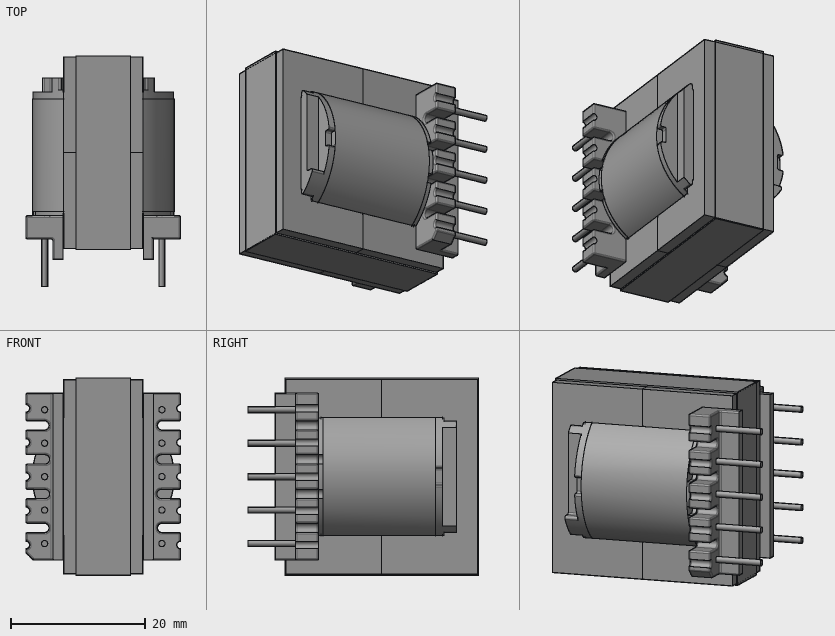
import cadquery as cq
import math


CORE_X = 11.83
CORE_Y = 28.57
CORE_Z = 28.95
CENTRE_LEG_RADIUS = 5.0
WINDOW_Y = 9.08

TAPE_X = 8.18
TAPE_Y = 28.88
TAPE_Z = 29.43

COIL_RADIUS = 10.6
WINDING_TOP_Y = 8.0
WINDING_BOTTOM_Y = -8.73

TUBE_RADIUS = 5.85
INNER_X = 5.98
FLANGE_NOTCH_FLOOR_X = 9.52
FLANGE_NOTCH_WIDTH = 2.5

PLATE_STEP_Y = 9.3
PLATE_TOP_Y = 11.15
PLATE_X = 7.63
PLATE_RABBET_X = 6.2
PLATE_RABBET_Z = 7.35
COIL_FORMER_ROUND = 0.28
LIP_TOP_Z = -5.02
LIP_EDGE_ROUND = 0.35

RAIL_X = 11.52
RAIL_Z = 12.45
RAIL_TOP_Y = -9.4
RAIL_BOTTOM_Y = -12.85
FOOT_X = 7.5
FOOT_BOTTOM_Y = -15.9
FOOT_ROOT_ROUND = 0.28
SELECT_MARGIN = 0.05
RAIL_EDGE_ROUND = 0.25
RAIL_CORNER_CUT = 1.1

SLOT_RADIUS = 0.7
OUTER_SLOT_Z = 7.63
INNER_SLOT_Z = 2.58
OUTER_SLOT_CENTRE_X = 8.75
INNER_SLOT_CENTRE_X = 8.65
NOTCH_RADIUS = 0.55
NOTCH_PITCH = 5.1

PIN_COUNT = 5
PIN_PITCH = 5.0
PIN_DIAMETER = 0.93
PIN_X = 8.73
PIN_TIP_Y = -19.95


def cylinder_y(radius, y_low, y_high, x=0, z=0):
    """Cylinder along Y between two heights."""
    plane = cq.Workplane("XZ", origin=(0, y_high, 0))
    return plane.center(x, z).circle(radius).extrude(y_high - y_low)


def block(x_range, y_range, z_range):
    """Box given by its limits along each axis."""
    size = [high - low for low, high in (x_range, y_range, z_range)]
    corner = (x_range[0], y_range[0], z_range[0])
    return cq.Workplane("XY").box(*size, centered=False).translate(corner)


def side_block(side, x_low, x_high, y_range, z_range):
    """Box on one side of the core; side is -1 or +1 along X."""
    x_range = sorted((side * x_low, side * x_high))
    return block(x_range, y_range, z_range)


def round_y_edge(body, point, radius):
    """Fillet the edge along Y whose middle is nearest to the point."""
    return body.edges("|Y").edges(cq.selectors.NearestToPointSelector(point)).fillet(radius)


def row(count, pitch):
    """Evenly spaced places centred on zero."""
    return [(i - (count - 1) / 2) * pitch for i in range(count)]


def core_half(side):
    """E core half with a round centre leg; side is the direction along Y."""
    y_range = sorted((0, side * CORE_Y / 2))
    half = block((-CORE_X / 2, CORE_X / 2), y_range, (-CORE_Z / 2, CORE_Z / 2))
    window = cylinder_y(COIL_RADIUS, -WINDOW_Y, WINDOW_Y)
    leg = cylinder_y(CENTRE_LEG_RADIUS, -WINDOW_Y, WINDOW_Y)
    return half.cut(window.cut(leg))


def tape_loop():
    loop = cq.Workplane("XY").box(TAPE_X, TAPE_Y, TAPE_Z)
    return loop.cut(cq.Workplane("XY").box(TAPE_X, CORE_Y, CORE_Z))


def coil():
    winding = cylinder_y(COIL_RADIUS, WINDING_BOTTOM_Y, WINDING_TOP_Y)
    return winding.cut(cylinder_y(TUBE_RADIUS, WINDING_BOTTOM_Y, WINDING_TOP_Y))


def tube_and_flanges():
    spool = cylinder_y(TUBE_RADIUS, -WINDOW_Y, WINDOW_Y)
    spool = spool.union(cylinder_y(COIL_RADIUS, WINDING_TOP_Y, WINDOW_Y))
    spool = spool.union(cylinder_y(COIL_RADIUS, -WINDOW_Y, WINDING_BOTTOM_Y))
    spool = spool.cut(cylinder_y(CENTRE_LEG_RADIUS, -WINDOW_Y, WINDOW_Y))
    notch_z = FLANGE_NOTCH_WIDTH / 2
    notch_y = (WINDING_TOP_Y, WINDOW_Y)
    rim_x = math.sqrt(COIL_RADIUS**2 - notch_z**2)
    for side in (-1, 1):
        notch = side_block(side, FLANGE_NOTCH_FLOOR_X, RAIL_X, notch_y, (-notch_z, notch_z))
        floor_face = "<X" if side > 0 else ">X"
        notch = notch.faces(floor_face).edges("|Y").fillet(COIL_FORMER_ROUND)
        spool = spool.cut(notch)
        for z in (-notch_z, notch_z):
            spool = round_y_edge(spool, (side * rim_x, sum(notch_y) / 2, z), COIL_FORMER_ROUND)
    return spool


def flange_segment(side):
    """Part of the lower flange beside the core, joining the flange to a rail."""
    y_range = (RAIL_TOP_Y, WINDING_BOTTOM_Y)
    disc = cylinder_y(COIL_RADIUS, *y_range)
    return disc.intersect(side_block(side, INNER_X, RAIL_X, y_range, (-RAIL_Z, RAIL_Z)))


def end_plate(side):
    """Plate standing on the upper flange beside the core; the -X one has a lip."""
    y_range = (WINDOW_Y, PLATE_TOP_Y)
    middle_y = sum(y_range) / 2
    plate = side_block(side, INNER_X, PLATE_X, y_range, (-RAIL_Z, RAIL_Z))
    if side < 0:
        plate = plate.union(side_block(side, INNER_X, RAIL_X, y_range, (-RAIL_Z, LIP_TOP_Z)))
        plate = round_y_edge(plate, (-PLATE_X, middle_y, LIP_TOP_Z), COIL_FORMER_ROUND)
    plate = plate.intersect(cylinder_y(COIL_RADIUS, *y_range))
    if side < 0:
        lip_x = math.sqrt(COIL_RADIUS**2 - LIP_TOP_Z**2)
        plate = round_y_edge(plate, (-lip_x, middle_y, LIP_TOP_Z), LIP_EDGE_ROUND)

    step_y = (PLATE_STEP_Y, PLATE_TOP_Y)
    corner_z = math.sqrt(COIL_RADIUS**2 - PLATE_RABBET_X**2)
    for end in (-1, 1):
        z_range = sorted((end * PLATE_RABBET_Z, end * RAIL_Z))
        rabbet = side_block(side, 0, PLATE_RABBET_X, step_y, z_range)
        root = (side * PLATE_RABBET_X, sum(step_y) / 2, end * PLATE_RABBET_Z)
        plate = plate.cut(round_y_edge(rabbet, root, COIL_FORMER_ROUND))
        corner = (side * PLATE_RABBET_X, sum(step_y) / 2, end * corner_z)
        plate = round_y_edge(plate, corner, COIL_FORMER_ROUND)
    return plate


def slot_cutter(side, centre_x, z):
    """Round ended wire slot through a rail and up to the winding."""
    y_range = (RAIL_BOTTOM_Y, WINDING_BOTTOM_Y)
    straight = side_block(side, centre_x, RAIL_X, y_range, (z - SLOT_RADIUS, z + SLOT_RADIUS))
    return straight.union(cylinder_y(SLOT_RADIUS, *y_range, x=side * centre_x, z=z))


def cut_wire_notches(rail, side):
    for z in row(PIN_COUNT, NOTCH_PITCH):
        rail = rail.cut(cylinder_y(NOTCH_RADIUS, RAIL_BOTTOM_Y, RAIL_TOP_Y, x=side * RAIL_X, z=z))
    return rail


def pin_rail(side):
    """Rail with a foot, wire slots and wire notches; side is -1 or +1 along X."""
    z_range = (-RAIL_Z, RAIL_Z)
    rail = side_block(side, INNER_X, RAIL_X, (RAIL_BOTTOM_Y, RAIL_TOP_Y), z_range)
    rail = rail.union(side_block(side, INNER_X, FOOT_X, (FOOT_BOTTOM_Y, RAIL_TOP_Y), z_range))

    if side < 0:
        rail = rail.edges("|Y and <X and <Z").chamfer(RAIL_CORNER_CUT)
        root = cq.selectors.NearestToPointSelector((-FOOT_X, RAIL_BOTTOM_Y, 0))
        rail = rail.edges("|Z").edges(root).fillet(FOOT_ROOT_ROUND)

    for z in (-OUTER_SLOT_Z, OUTER_SLOT_Z):
        rail = rail.cut(slot_cutter(side, OUTER_SLOT_CENTRE_X, z))
    for z in (-INNER_SLOT_Z, INNER_SLOT_Z):
        rail = rail.cut(slot_cutter(side, INNER_SLOT_CENTRE_X, z))
    outer_face, inner_face = ("<X", ">X") if side < 0 else (">X", "<X")
    rail = rail.faces(outer_face).edges("|Y").fillet(RAIL_EDGE_ROUND)

    if side < 0:
        rail = cut_wire_notches(rail, side)
    rail = rail.faces(">Y").edges(f"not {inner_face}").fillet(RAIL_EDGE_ROUND)

    outside = cq.selectors.BoxSelector(
        (side * (INNER_X + SELECT_MARGIN), FOOT_BOTTOM_Y + SELECT_MARGIN, -RAIL_Z - SELECT_MARGIN),
        (side * (RAIL_X + SELECT_MARGIN), RAIL_BOTTOM_Y + SELECT_MARGIN, RAIL_Z + SELECT_MARGIN),
    )
    foot_root = cq.selectors.BoxSelector(
        (side * (FOOT_X - SELECT_MARGIN), RAIL_BOTTOM_Y - FOOT_ROOT_ROUND - SELECT_MARGIN, -SELECT_MARGIN),
        (side * (FOOT_X + FOOT_ROOT_ROUND + SELECT_MARGIN), RAIL_BOTTOM_Y + SELECT_MARGIN, SELECT_MARGIN),
    )
    rail = rail.edges(outside - foot_root).fillet(RAIL_EDGE_ROUND)
    if side > 0:
        rail = cut_wire_notches(rail, side)
    return rail


def bobbin_with_pins():
    bobbin = tube_and_flanges()
    for side in (-1, 1):
        bobbin = bobbin.union(flange_segment(side))
        for z in (-INNER_SLOT_Z, INNER_SLOT_Z):
            bobbin = bobbin.cut(slot_cutter(side, INNER_SLOT_CENTRE_X, z))
    for side in (-1, 1):
        bobbin = bobbin.union(end_plate(side))
        bobbin = bobbin.union(pin_rail(side))
        for z in row(PIN_COUNT, PIN_PITCH):
            pin = cylinder_y(PIN_DIAMETER / 2, PIN_TIP_Y, RAIL_BOTTOM_Y, x=side * PIN_X, z=z)
            bobbin = bobbin.union(pin)
    return bobbin


front_core = core_half(-1)
back_core = core_half(1)
tape = tape_loop()
winding = coil()
bobbin = bobbin_with_pins()

result = cq.Compound.makeCompound(
    [front_core.val(), back_core.val(), tape.val(), winding.val(), bobbin.val()]
)